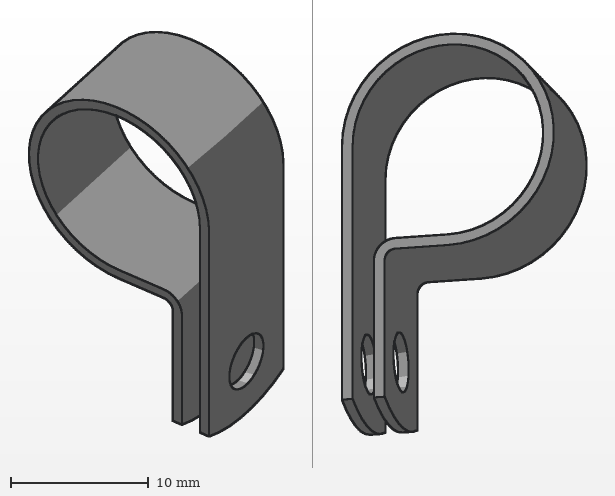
import cadquery as cq
import math

loop_diameter = 15.9
total_height = 27.95
strip_width = 9.53
thickness = 0.8
leg_gap = 1.6
bend_inner_radius = 0.8
hole_diameter = 4.35
hole_height = 4.8
tip_rise = 0.95

outer_radius = loop_diameter / 2
inner_radius = outer_radius - thickness
bend_outer_radius = bend_inner_radius + thickness
leg_bottom = outer_radius - total_height
short_leg_right = inner_radius - leg_gap
short_leg_left = short_leg_right - thickness
bend_x = short_leg_left - bend_inner_radius
bend_z = -outer_radius - bend_inner_radius
diagonal = math.sqrt(0.5)


def make_strip():
    """Bent strip: long leg, three-quarter loop, flat run, bend and short leg."""
    profile = (
        cq.Workplane("XZ")
        .moveTo(outer_radius, leg_bottom)
        .lineTo(outer_radius, 0)
        .threePointArc((-outer_radius * diagonal, outer_radius * diagonal), (0, -outer_radius))
        .lineTo(bend_x, -outer_radius)
        .threePointArc(
            (bend_x + bend_inner_radius * diagonal, bend_z + bend_inner_radius * diagonal),
            (short_leg_left, bend_z),
        )
        .lineTo(short_leg_left, leg_bottom)
        .lineTo(short_leg_right, leg_bottom)
        .lineTo(short_leg_right, bend_z)
        .threePointArc(
            (bend_x + bend_outer_radius * diagonal, bend_z + bend_outer_radius * diagonal),
            (bend_x, -inner_radius),
        )
        .lineTo(0, -inner_radius)
        .threePointArc((-inner_radius * diagonal, inner_radius * diagonal), (inner_radius, 0))
        .lineTo(inner_radius, leg_bottom)
        .close()
    )
    return profile.extrude(strip_width / 2, both=True)


def make_side_envelope():
    """Side outline of the strip with a curved lower end, extruded across X."""
    half_width = strip_width / 2
    corner_z = leg_bottom + tip_rise
    outline = (
        cq.Workplane("YZ")
        .moveTo(-half_width, outer_radius)
        .lineTo(-half_width, corner_z)
        .threePointArc((0, leg_bottom), (half_width, corner_z))
        .lineTo(half_width, outer_radius)
        .close()
    )
    return outline.extrude(outer_radius, both=True)


def make_screw_hole():
    """Cylinder along X that passes through both legs."""
    return (
        cq.Workplane("YZ")
        .center(0, leg_bottom + hole_height)
        .circle(hole_diameter / 2)
        .extrude(outer_radius, both=True)
    )


result = make_strip().intersect(make_side_envelope()).cut(make_screw_hole())